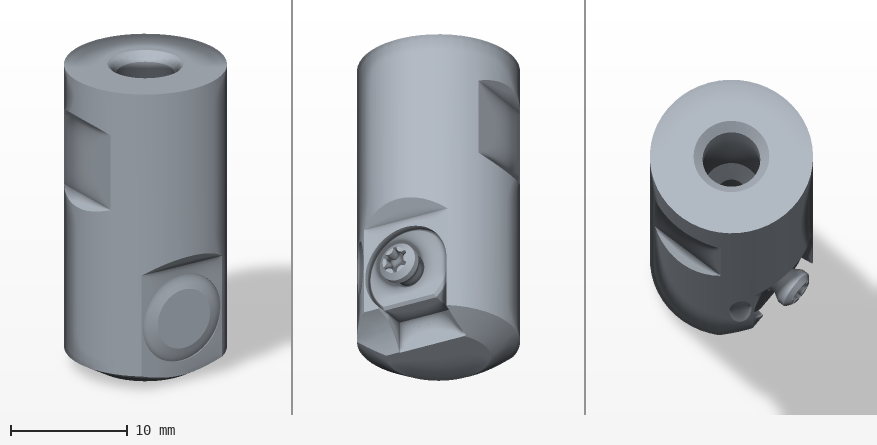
import cadquery as cq
import math

LENGTH = 27.5
SHANK_DIAMETER = 14.0
SHANK_R = SHANK_DIAMETER / 2
BOTTOM_CHAMFER_RADIAL = 2.5
BOTTOM_CHAMFER_ANGLE = 30.0
BOTTOM_CHAMFER_HEIGHT = BOTTOM_CHAMFER_RADIAL * math.tan(math.radians(BOTTOM_CHAMFER_ANGLE))
MARGIN = 1.38

WRENCH_FLAT_Y = 6.0
WRENCH_FLAT_BOTTOM = 16.55
WRENCH_FLAT_TOP = 23.48
WRENCH_RAMP_ANGLE = 36.0

SEAT_FLAT_X = 5.65
SEAT_FLAT_TOP = 10.75
SEAT_RAMP_ANGLE = 45.0

BORE_R = 2.48
BORE_MOUTH_R = 3.25
BORE_BOTTOM = 18.98
PASSAGE_R = 1.25
BORE_CONE_ANGLE = 118.0
BORE_CONE_HEIGHT = (BORE_R - PASSAGE_R) / math.tan(math.radians(BORE_CONE_ANGLE / 2))

DUCT_R = 0.95
DUCT_EXIT_Z = 7.54
DUCT_TILT = 22.0
DUCT_HEADING = 135.0

PLUG_R = 4.02
PLUG_Z = 6.0
PLUG_FACE_X = -5.15
PLUG_FACE_CHAMFER = 0.25
PLUG_END_X = 6.0
PLUG_END_R = 2.7
PLUG_END_CHAMFER_LENGTH = 0.5
PLUG_CUT_Z = 2.92
COUNTERSINK = 0.25

SLOT_FLOOR_X = -2.3
SLOT_WALL_Y = 2.48
SLOT_BEVEL_WIDTH = 0.25
SLOT_BEVEL_DEPTH = 1.3
GASH_TOP = 2.83
GASH_BOTTOM_X = -2.42
GASH_R = 6.0

SCREW_FACE_X = -7.54
SCREW_FACE_R = 1.2
SCREW_HEAD_R = 1.73
SCREW_NECK_R = 1.3
HEAD_RIM_START_X = -7.1
HEAD_RIM_END_X = -6.5
HEAD_BACK_X = -5.75
SCREW_TIP_X = 0.0
SOCKET_DEPTH = 1.1
SOCKET_RIBS = 6
SOCKET_RIB_R = 0.47
SOCKET_RIB_CENTRE_R = 1.3


def revolve_about_x(profile, axis_z):
    """Turn a closed (x, radius) profile about the X-direction line at height axis_z."""
    return (
        cq.Workplane("XZ")
        .polyline(profile)
        .close()
        .revolve(360, (0, 0, 0), (1, 0, 0))
        .translate((0, 0, axis_z))
    )


def cylinder_along_x(radius, x_start, x_end, axis_z):
    return (
        cq.Workplane("YZ", origin=(x_start, 0, axis_z))
        .circle(radius)
        .extrude(x_end - x_start)
    )


def wrench_flat_cutter(side):
    """Ramped notch for the flat on the +Y (side = 1) or -Y (side = -1) face."""
    reach = SHANK_R + MARGIN
    rise = (reach - WRENCH_FLAT_Y) * math.tan(math.radians(WRENCH_RAMP_ANGLE))
    return (
        cq.Workplane("YZ")
        .polyline([
            (side * WRENCH_FLAT_Y, WRENCH_FLAT_BOTTOM),
            (side * WRENCH_FLAT_Y, WRENCH_FLAT_TOP),
            (side * reach, WRENCH_FLAT_TOP + rise),
            (side * reach, WRENCH_FLAT_BOTTOM - rise),
        ])
        .close()
        .extrude(SHANK_R, both=True)
    )


def seat_flat_cutter(side):
    """Flat with a ramped top on the +X (side = 1) or -X (side = -1) face."""
    reach = SHANK_R + MARGIN
    rise = (reach - SEAT_FLAT_X) * math.tan(math.radians(SEAT_RAMP_ANGLE))
    return (
        cq.Workplane("XZ")
        .polyline([
            (side * SEAT_FLAT_X, -MARGIN),
            (side * SEAT_FLAT_X, SEAT_FLAT_TOP),
            (side * reach, SEAT_FLAT_TOP + rise),
            (side * reach, -MARGIN),
        ])
        .close()
        .extrude(SHANK_R, both=True)
    )


def shank_blank():
    """Turned outside of the shank with its bottom chamfer."""
    return (
        cq.Workplane("XZ")
        .polyline([
            (0, 0),
            (SHANK_R - BOTTOM_CHAMFER_RADIAL, 0),
            (SHANK_R, BOTTOM_CHAMFER_HEIGHT),
            (SHANK_R, LENGTH),
            (0, LENGTH),
        ])
        .close()
        .revolve(360, (0, 0, 0), (0, 1, 0))
    )


def bore_cutter():
    """Chamfered bore, its conical bottom and the passage down to the plug."""
    return (
        cq.Workplane("XZ")
        .polyline([
            (0, PLUG_Z),
            (PASSAGE_R, PLUG_Z),
            (PASSAGE_R, BORE_BOTTOM - BORE_CONE_HEIGHT),
            (BORE_R, BORE_BOTTOM),
            (BORE_R, LENGTH - (BORE_MOUTH_R - BORE_R)),
            (BORE_MOUTH_R, LENGTH),
            (0, LENGTH),
        ])
        .close()
        .revolve(360, (0, 0, 0), (0, 1, 0))
    )


def duct_cutter():
    """Oblique cylinder from outside the shank up to the bore axis."""
    tilt = math.radians(DUCT_TILT)
    heading = math.radians(DUCT_HEADING)
    inward = cq.Vector(
        -math.sin(tilt) * math.cos(heading),
        -math.sin(tilt) * math.sin(heading),
        math.cos(tilt),
    )
    exit_point = cq.Vector(
        SHANK_R * math.cos(heading),
        SHANK_R * math.sin(heading),
        DUCT_EXIT_Z,
    )
    outside_length = SHANK_R
    length = outside_length + SHANK_R / math.sin(tilt)
    start = exit_point - inward * outside_length
    return cq.Workplane(cq.Solid.makeCylinder(DUCT_R, length, start, inward))


def slot_cutter():
    """Slot open to -X and to the bottom, with one bevelled side."""
    reach = SHANK_R + MARGIN
    return (
        cq.Workplane("XY")
        .polyline([
            (-reach, -PLUG_R),
            (SLOT_FLOOR_X, -PLUG_R),
            (SLOT_FLOOR_X, SLOT_WALL_Y),
            (SLOT_BEVEL_DEPTH - SEAT_FLAT_X, SLOT_WALL_Y),
            (-SEAT_FLAT_X, SLOT_WALL_Y + SLOT_BEVEL_WIDTH),
            (-reach, SLOT_WALL_Y + SLOT_BEVEL_WIDTH),
        ])
        .close()
        .extrude(PLUG_Z)
    )


def gash_cutter():
    """Hollow with an arched roof, beside the slot on the +Y side."""
    reach = SHANK_R + MARGIN
    return (
        cq.Workplane("XZ", origin=(0, SLOT_WALL_Y, 0))
        .moveTo(-SEAT_FLAT_X, GASH_TOP)
        .radiusArc((GASH_BOTTOM_X, 0), GASH_R)
        .lineTo(-reach, 0)
        .lineTo(-reach, GASH_TOP)
        .close()
        .extrude(-SHANK_R)
    )


def make_shank():
    shank = shank_blank()
    for side in (1, -1):
        shank = shank.cut(wrench_flat_cutter(side))
        shank = shank.cut(seat_flat_cutter(side))
    shank = shank.cut(bore_cutter())
    shank = shank.cut(duct_cutter())
    shank = shank.cut(cylinder_along_x(PLUG_R, -SHANK_R, SHANK_R, PLUG_Z))
    shank = shank.cut(slot_cutter())
    return shank.cut(gash_cutter())


def make_plug():
    """Round plug with a cut-off, chamfered front end and a coned back end."""
    step_depth = SLOT_FLOOR_X - PLUG_FACE_X
    plug = revolve_about_x(
        [
            (PLUG_FACE_X, 0),
            (PLUG_FACE_X, PLUG_R),
            (PLUG_END_X - PLUG_END_CHAMFER_LENGTH, PLUG_R),
            (PLUG_END_X, PLUG_END_R),
            (PLUG_END_X, 0),
        ],
        PLUG_Z,
    )
    step = (
        cq.Workplane("XY", origin=(PLUG_FACE_X, 0, 0))
        .rect(2 * step_depth, 2 * PLUG_R)
        .extrude(PLUG_CUT_Z)
    )
    plug = plug.cut(step).faces("<X").chamfer(PLUG_FACE_CHAMFER)
    plug = plug.cut(cylinder_along_x(SCREW_NECK_R, PLUG_FACE_X, SCREW_TIP_X, PLUG_Z))
    countersink = revolve_about_x(
        [
            (PLUG_FACE_X, 0),
            (PLUG_FACE_X, SCREW_NECK_R + COUNTERSINK),
            (PLUG_FACE_X + COUNTERSINK, SCREW_NECK_R),
            (PLUG_FACE_X + COUNTERSINK, 0),
        ],
        PLUG_Z,
    )
    return plug.cut(countersink)


def socket_cutter():
    """Star-shaped drive socket: a round recess less a ring of round ribs."""
    end_x = SCREW_FACE_X + SOCKET_DEPTH
    socket = cylinder_along_x(SCREW_FACE_R, SCREW_FACE_X, end_x, PLUG_Z)
    ribs = (
        cq.Workplane("YZ", origin=(SCREW_FACE_X, 0, PLUG_Z))
        .polarArray(SOCKET_RIB_CENTRE_R, 0, 360, SOCKET_RIBS)
        .circle(SOCKET_RIB_R)
        .extrude(SOCKET_DEPTH)
    )
    return socket.cut(ribs)


def make_screw():
    screw = revolve_about_x(
        [
            (SCREW_FACE_X, 0),
            (SCREW_FACE_X, SCREW_FACE_R),
            (HEAD_RIM_START_X, SCREW_HEAD_R),
            (HEAD_RIM_END_X, SCREW_HEAD_R),
            (HEAD_BACK_X, SCREW_NECK_R),
            (SCREW_TIP_X, SCREW_NECK_R),
            (SCREW_TIP_X, 0),
        ],
        PLUG_Z,
    )
    return screw.cut(socket_cutter())


shank = make_shank()
plug = make_plug()
screw = make_screw()

result = cq.Compound.makeCompound([shank.val(), plug.val(), screw.val()])